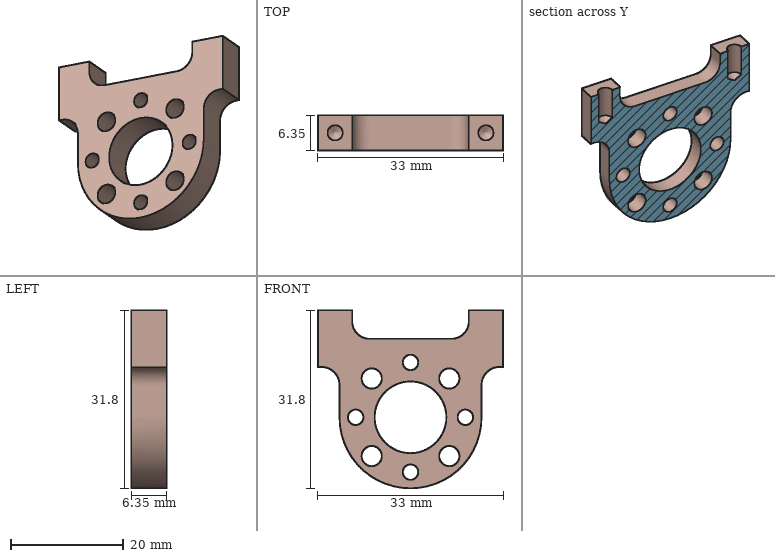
import cadquery as cq
import math

width = 33.02
thickness = 6.35
body_radius = 12.68
top_z = 19.1

lug_width = 6.15
lug_bottom_z = 8.95
notch_floor_z = 14.0
notch_fillet = 3.07
shoulder_fillet = 3.17

bore_diameter = 12.75
ring_radius = 9.77
small_hole_diameter = 2.7
large_hole_diameter = 3.55
holes_per_set = 4

lug_hole_diameter = 2.7
lug_hole_depth = 5.95
drill_tip_angle = 118.0

half_width = width / 2
lug_inner_x = half_width - lug_width
lug_center_x = half_width - lug_width / 2


def make_plate():
    """Plate with a round bottom, two lugs and filleted inner corners."""
    arc_offset = shoulder_fillet * math.sqrt(0.5)
    shoulder_x = body_radius + shoulder_fillet
    shoulder_z = lug_bottom_z - shoulder_fillet
    notch_offset = notch_fillet * math.sqrt(0.5)
    notch_x = lug_inner_x - notch_fillet
    notch_z = notch_floor_z + notch_fillet
    return (
        cq.Workplane("XZ")
        .moveTo(-body_radius, 0)
        .threePointArc((0, -body_radius), (body_radius, 0))
        .lineTo(body_radius, shoulder_z)
        .threePointArc((shoulder_x - arc_offset, shoulder_z + arc_offset), (shoulder_x, lug_bottom_z))
        .lineTo(half_width, lug_bottom_z)
        .lineTo(half_width, top_z)
        .lineTo(lug_inner_x, top_z)
        .lineTo(lug_inner_x, notch_z)
        .threePointArc((notch_x + notch_offset, notch_z - notch_offset), (notch_x, notch_floor_z))
        .lineTo(-notch_x, notch_floor_z)
        .threePointArc((-notch_x - notch_offset, notch_z - notch_offset), (-lug_inner_x, notch_z))
        .lineTo(-lug_inner_x, top_z)
        .lineTo(-half_width, top_z)
        .lineTo(-half_width, lug_bottom_z)
        .lineTo(-shoulder_x, lug_bottom_z)
        .threePointArc((-shoulder_x + arc_offset, shoulder_z + arc_offset), (-body_radius, shoulder_z))
        .close()
        .extrude(thickness / 2, both=True)
    )


def hole_ring(diameter, start_angle):
    """Cutters for one set of through holes evenly spaced around the bore."""
    return (
        cq.Workplane("XZ")
        .polarArray(ring_radius, start_angle, 360, holes_per_set)
        .circle(diameter / 2)
        .extrude(thickness, both=True)
    )


def lug_hole(x):
    """Cutter for a blind hole with a conical drill tip, bored down from a lug top."""
    radius = lug_hole_diameter / 2
    tip_length = radius / math.tan(math.radians(drill_tip_angle / 2))
    return (
        cq.Workplane("XZ")
        .polyline([
            (0, top_z),
            (radius, top_z),
            (radius, top_z - lug_hole_depth),
            (0, top_z - lug_hole_depth - tip_length),
        ])
        .close()
        .revolve(360, (0, 0, 0), (0, 1, 0))
        .translate((x, 0, 0))
    )


bore = cq.Workplane("XZ").circle(bore_diameter / 2).extrude(thickness, both=True)

result = make_plate().cut(bore)
result = result.cut(hole_ring(small_hole_diameter, 0))
result = result.cut(hole_ring(large_hole_diameter, 180 / holes_per_set))
for side in (-1, 1):
    result = result.cut(lug_hole(side * lug_center_x))